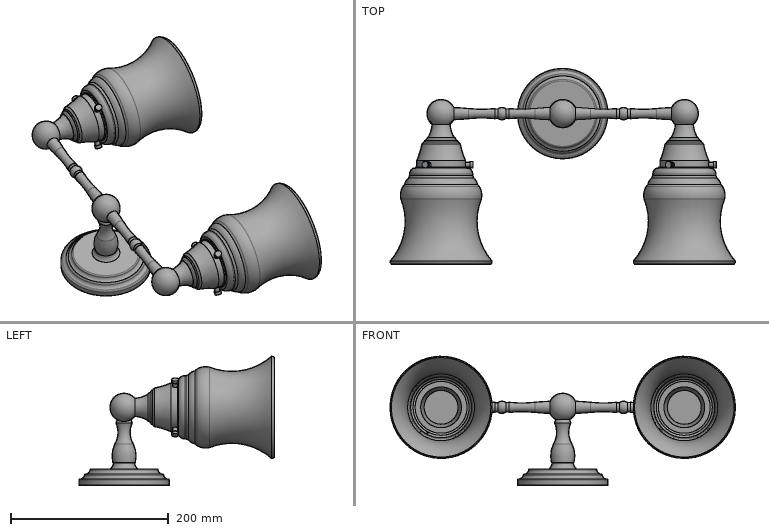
import cadquery as cq
import math


lamp_offset = 154.0
ball_radius = 18.0
canopy_bottom = -99.0
canopy_radius = 57.3

canopy_top = -78.0
middle_step_top = -84.5
lower_step_top = -90.5
step_edge_drop = 1.7
top_step_radius = 43.3
middle_step_radius = 50.3
step_rounding = 1.7
cove_ledge = 2.5
cove_hollow = 1.5
stem_foot_radius = 17.5
stem_foot_neck = 13.5
stem_foot_top = -70.5
barrel_bottom = -69.5
barrel_bottom_radius = 14.5
barrel_middle = -59.5
barrel_radius = 15.5
barrel_top = -46.5
barrel_top_radius = 12.0
stem_waist = -31.5
stem_waist_radius = 8.0
stem_collar = -19.5
stem_collar_radius = 10.5
stem_top_radius = 8.7
stem_top = -15.5

bead_radius = 8.0
bead_groove_radius = 6.0
tube_start = 8.7
tube_middle = 25.5
tube_end = 42.0
tube_end_radius = 6.5
tube_waist_radius = 5.5
flare_middle = 52.5
flare_middle_radius = 7.5
flare_radius = 8.0

neck_start = 11.0
neck_radius = 11.5
neck_hollow_radius = 12.5
neck_end = 30.0
neck_end_radius = 16.5
bead_step = 1.0
first_bead_end = 32.0
first_bead_radius = 18.5
second_bead_start = 34.0
second_bead_radius = 21.0
second_bead_end = 36.0
cup_top = 38.5
cup_top_radius = 24.5
cup_middle = 49.0
cup_middle_radius = 27.0
cup_rim = 59.5
cup_radius = 31.0
cup_end = 67.5
cup_flange_radius = 32.5
holder_top = 69.0
holder_top_radius = 35.5
holder_middle = 71.5
holder_middle_radius = 38.5
holder_band_start = 76.5
holder_band_end = 78.3
holder_radius = 40.2
shoulder_start = 81.7
shoulder_start_radius = 41.5
shoulder_middle = 85.2
shoulder_middle_radius = 44.5
shoulder_end = 89.5
shoulder_radius = 46.5
bulge_start = 92.2
bulge_start_radius = 48.5
bulge_middle = 102.0
bulge_radius = 51.5
bell_start = 108.0
bell_start_radius = 51.0
bell_middle = 146.5
bell_waist_radius = 46.5
lip_start = 186.5
lip_radius = 64.5
lip_middle = 189.0
lip_middle_radius = 64.3
lip_end = 190.5
lip_inner_radius = 63.0
holder_wall = 1.7
shade_wall = 3.5
floor_ring_radius = 33.0
socket_radius = 26.0
socket_floor_radius = 21.5
socket_floor = 40.5

screw_count = 3
screw_position = 64.5
screw_shank_radius = 3.3
screw_head_radius = 4.5
screw_head_start = 36.7
screw_head_end = 40.5


def ball(x):
    return cq.Workplane("XY").sphere(ball_radius).translate((x, 0, 0))


def chord_middle(start, end, hollow):
    """Point midway between two profile points, sunk inward and downward by hollow."""
    return ((start[0] + end[0] - hollow) / 2, (start[1] + end[1] - hollow) / 2)


def rounded_edge(profile, radius, top):
    """Quarter-round step edge that starts on the flat of the step and ends on its side."""
    diagonal = math.sqrt(0.5)
    middle = (
        radius - step_rounding * (1 - diagonal),
        top - step_edge_drop * (1 - diagonal),
    )
    return profile.lineTo(radius - step_rounding, top).threePointArc(middle, (radius, top - step_edge_drop))


def cove(profile, radius, top, next_radius, next_top):
    """Hollow curve from the side of one step down to the flat of the next."""
    start = (radius, top - step_edge_drop)
    end = (next_radius - cove_ledge, next_top)
    return profile.threePointArc(chord_middle(start, end, cove_hollow), end)


def make_canopy():
    profile = cq.Workplane("XZ").moveTo(0, canopy_bottom).lineTo(0, canopy_top)
    profile = rounded_edge(profile, top_step_radius, canopy_top)
    profile = cove(profile, top_step_radius, canopy_top, middle_step_radius, middle_step_top)
    profile = rounded_edge(profile, middle_step_radius, middle_step_top)
    profile = cove(profile, middle_step_radius, middle_step_top, canopy_radius, lower_step_top)
    profile = rounded_edge(profile, canopy_radius, lower_step_top)
    profile = profile.lineTo(canopy_radius, canopy_bottom).close()
    return profile.revolve(360, (0, 0), (0, 1))


def make_stem():
    foot_seat = canopy_top - step_edge_drop
    foot = (stem_foot_radius, canopy_top)
    foot_top = (stem_foot_neck, stem_foot_top)
    profile = (
        cq.Workplane("XZ")
        .moveTo(0, foot_seat)
        .lineTo(stem_foot_radius, foot_seat)
        .lineTo(*foot)
        .threePointArc(chord_middle(foot, foot_top, cove_hollow), foot_top)
        .lineTo(barrel_bottom_radius, barrel_bottom)
        .threePointArc((barrel_radius, barrel_middle), (barrel_top_radius, barrel_top))
        .threePointArc((stem_waist_radius, stem_waist), (stem_collar_radius, stem_collar))
        .lineTo(stem_top_radius, stem_top)
        .lineTo(0, stem_top)
        .close()
    )
    return profile.revolve(360, (0, 0), (0, 1))


def make_half_bar(center_x):
    reach = lamp_offset / 2
    profile = (
        cq.Workplane("XY")
        .moveTo(-reach, 0)
        .lineTo(-reach, flare_radius)
        .threePointArc((-flare_middle, flare_middle_radius), (-tube_end, tube_end_radius))
        .threePointArc((-tube_middle, tube_waist_radius), (-tube_start, tube_end_radius))
        .lineTo(-tube_start, bead_groove_radius)
        .lineTo(tube_start, bead_groove_radius)
        .lineTo(tube_start, tube_end_radius)
        .threePointArc((tube_middle, tube_waist_radius), (tube_end, tube_end_radius))
        .threePointArc((flare_middle, flare_middle_radius), (reach, flare_radius))
        .lineTo(reach, 0)
        .close()
    )
    bar = profile.revolve(360, (0, 0), (1, 0))
    return bar.union(cq.Workplane("XY").sphere(bead_radius)).translate((center_x, 0, 0))


def make_lamp_body():
    """Neck, cup, holder and shade as one hollow turning about the Y axis."""
    neck_curve_middle = (neck_start + neck_end) / 2
    inner_waist = bell_waist_radius - shade_wall
    inner_bulge = bulge_radius - shade_wall
    profile = (
        cq.Workplane("XY")
        .moveTo(0, -neck_start)
        .lineTo(neck_radius, -neck_start)
        .threePointArc((neck_hollow_radius, -neck_curve_middle), (neck_end_radius, -neck_end))
        .lineTo(neck_end_radius + bead_step, -neck_end)
        .lineTo(first_bead_radius, -first_bead_end)
        .lineTo(second_bead_radius - bead_step, -second_bead_start)
        .lineTo(second_bead_radius, -second_bead_start)
        .lineTo(second_bead_radius + bead_step, -second_bead_end)
        .lineTo(cup_top_radius, -cup_top)
        .threePointArc((cup_middle_radius, -cup_middle), (cup_radius, -cup_rim))
        .lineTo(cup_radius, -cup_end)
        .lineTo(cup_flange_radius, -cup_end)
        .lineTo(cup_flange_radius, -holder_top)
        .lineTo(holder_top_radius, -holder_top)
        .threePointArc((holder_middle_radius, -holder_middle), (holder_radius, -holder_band_start))
        .lineTo(holder_radius, -holder_band_end)
        .lineTo(shoulder_start_radius, -shoulder_start)
        .threePointArc((shoulder_middle_radius, -shoulder_middle), (shoulder_radius, -shoulder_end))
        .lineTo(bulge_start_radius, -bulge_start)
        .threePointArc((bulge_radius, -bulge_middle), (bell_start_radius, -bell_start))
        .threePointArc((bell_waist_radius, -bell_middle), (lip_radius, -lip_start))
        .threePointArc((lip_middle_radius, -lip_middle), (lip_inner_radius, -lip_end))
        .threePointArc((inner_waist, -bell_middle), (bell_start_radius - shade_wall, -bell_start))
        .threePointArc((inner_bulge, -bulge_middle), (bulge_start_radius - shade_wall, -bulge_start))
        .lineTo(shoulder_start_radius - holder_wall, -shoulder_start)
        .lineTo(holder_radius - holder_wall, -holder_band_end)
        .lineTo(holder_radius - holder_wall, -holder_band_start)
        .lineTo(holder_top_radius, -holder_middle)
        .lineTo(floor_ring_radius, -holder_top - holder_wall)
        .lineTo(socket_radius, -holder_top - holder_wall)
        .lineTo(socket_radius, -cup_rim)
        .lineTo(socket_floor_radius, -socket_floor)
        .lineTo(0, -socket_floor)
        .close()
    )
    return profile.revolve(360, (0, 0), (0, 1))


def make_screw():
    """Thumbscrew pointing along +X from inside the cup wall."""
    shank_start = (socket_radius + cup_radius) / 2
    shank = cq.Workplane("YZ", origin=(shank_start, -screw_position, 0)).circle(screw_shank_radius)
    head = cq.Workplane("YZ", origin=(screw_head_start, -screw_position, 0)).circle(screw_head_radius)
    return shank.extrude(screw_head_end - shank_start).union(head.extrude(screw_head_end - screw_head_start))


def make_lamp(x):
    lamp = make_lamp_body()
    for index in range(screw_count):
        angle = index * 360 / screw_count
        lamp = lamp.union(make_screw().rotate((0, 0, 0), (0, 1, 0), angle))
    return lamp.translate((x, 0, 0)).union(ball(x))


result = make_canopy().union(make_stem()).union(ball(0))
for side in (-1, 1):
    result = result.union(make_half_bar(side * lamp_offset / 2))
    result = result.union(make_lamp(side * lamp_offset))